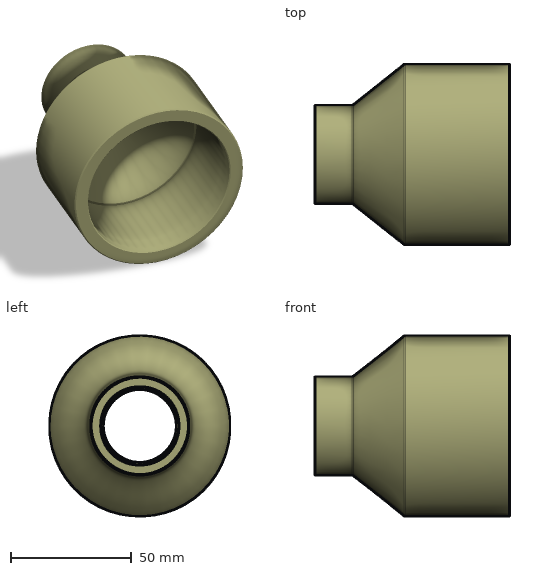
import cadquery as cq

total_length = 81.2
neck_length = 16.0
shoulder_x = 37.4

neck_diameter = 41.0
body_diameter = 75.0

small_socket_diameter = 32.0
small_socket_depth = 22.3
large_socket_diameter = 63.0
socket_step = 2.0
small_throat_diameter = small_socket_diameter - socket_step
large_throat_diameter = large_socket_diameter - socket_step

inner_cone_length = shoulder_x - neck_length
large_socket_start = small_socket_depth + inner_cone_length

end_chamfer = 0.5
bore_chamfer = 0.4
blend_radius = 0.8


def revolve_about_x(profile):
    """Turn a closed profile of (x, radius) points into a solid around X."""
    return cq.Workplane("XY").polyline(profile).close().revolve(360, (0, 0, 0), (1, 0, 0))


def make_outer_body():
    neck_radius = neck_diameter / 2
    body_radius = body_diameter / 2
    body = revolve_about_x([
        (0, 0),
        (0, neck_radius),
        (neck_length, neck_radius),
        (shoulder_x, body_radius),
        (total_length, body_radius),
        (total_length, 0),
    ])
    body = body.faces("%CONE").edges("%CIRCLE").fillet(blend_radius)
    return body.faces("<X or >X").edges().chamfer(end_chamfer)


def make_bore():
    small_radius = small_socket_diameter / 2
    large_radius = large_socket_diameter / 2
    return revolve_about_x([
        (0, 0),
        (0, small_radius + bore_chamfer),
        (bore_chamfer, small_radius),
        (small_socket_depth, small_radius),
        (small_socket_depth, small_throat_diameter / 2),
        (large_socket_start, large_throat_diameter / 2),
        (large_socket_start, large_radius),
        (total_length - bore_chamfer, large_radius),
        (total_length, large_radius + bore_chamfer),
        (total_length, 0),
    ])


result = make_outer_body().cut(make_bore())